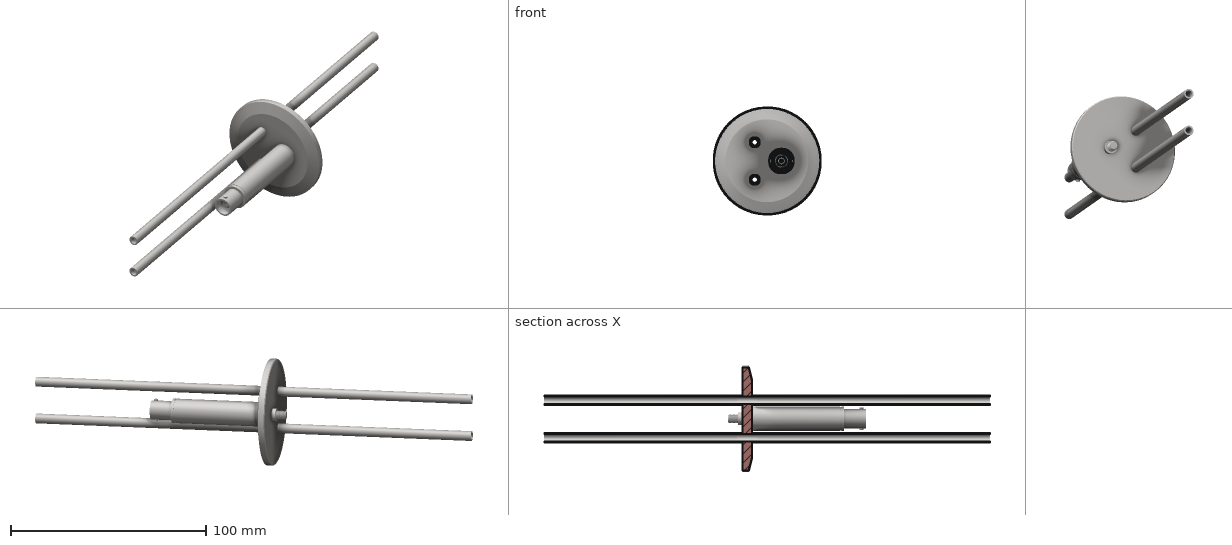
import cadquery as cq


tube_length = 228.5
tube_diameter = 5.0
tube_bore = 3.5
tube_x = -6.5
tube_spacing = 19.2

disc_diameter = 54.9
disc_face_diameter = 42.5
disc_back_y = 12.8
disc_thickness = 5.0
disc_taper = 1.5
disc_back_chamfer = 0.5

housing_x = 7.3
housing_diameter = 12.5
housing_end_y = -39.5
groove_offset = 1.4
groove_width = 0.7
groove_depth = 0.2

socket_diameter = 9.8
socket_length = 11.2
socket_bore = 8.0
socket_depth = 10.0
sleeve_diameter = 4.5
sleeve_setback = 3.5
contact_diameter = 1.4
contact_depth = 4.5
lug_diameter = 2.03
lug_span = 11.5
lug_setback = 2.3

collar_diameter = 6.6
collar_height = 2.0
thread_diameter = 4.5
thread_tooth_count = 7
thread_pitch = 0.7
thread_depth = 0.35
thread_tip_land = 0.2

disc_front_y = disc_back_y - disc_thickness
socket_end_y = housing_end_y - socket_length


def cylinder(diameter, start_y, end_y, x=0.0, z=0.0):
    """Cylinder along Y from start_y up to end_y."""
    axis = cq.Vector(0, 1, 0)
    start = cq.Vector(x, start_y, z)
    return cq.Workplane(cq.Solid.makeCylinder(diameter / 2, end_y - start_y, start, axis))


def revolve_about_y(points, x=0.0):
    """Revolve an outline of (radius, y) points about the Y axis, then move it to x."""
    profile = cq.Workplane("XY").polyline(points).close()
    return profile.revolve(360, (0, 0, 0), (0, 1, 0)).translate((x, 0, 0))


def make_disc():
    radius = disc_diameter / 2
    return revolve_about_y([
        (0, disc_front_y),
        (disc_face_diameter / 2, disc_front_y),
        (radius, disc_front_y + disc_taper),
        (radius, disc_back_y - disc_back_chamfer),
        (radius - disc_back_chamfer, disc_back_y),
        (0, disc_back_y),
    ])


def make_housing():
    body = cylinder(housing_diameter, housing_end_y, disc_back_y, housing_x)
    groove_start = housing_end_y + groove_offset
    groove_end = groove_start + groove_width
    ring = cylinder(housing_diameter, groove_start, groove_end, housing_x)
    core = cylinder(housing_diameter - 2 * groove_depth, groove_start, groove_end, housing_x)
    return body.cut(ring.cut(core))


def make_socket():
    shell = cylinder(socket_diameter, socket_end_y, housing_end_y, housing_x)
    lugs = (
        cq.Workplane("XY", origin=(housing_x, socket_end_y + lug_setback, 0))
        .circle(lug_diameter / 2)
        .extrude(lug_span / 2, both=True)
    )
    floor_y = socket_end_y + socket_depth
    sleeve_end_y = socket_end_y + sleeve_setback
    bore = cylinder(socket_bore, socket_end_y, floor_y, housing_x)
    sleeve = cylinder(sleeve_diameter, sleeve_end_y, floor_y, housing_x)
    contact = cylinder(contact_diameter, sleeve_end_y, sleeve_end_y + contact_depth, housing_x)
    return shell.union(lugs).cut(bore.cut(sleeve)).cut(contact)


def make_rear_connector():
    thread_start_y = disc_back_y + collar_height
    thread_end_y = thread_start_y + thread_tooth_count * thread_pitch + thread_tip_land
    crest = thread_diameter / 2
    root = crest - thread_depth
    outline = [(0, thread_start_y), (root, thread_start_y)]
    for tooth in range(thread_tooth_count):
        tooth_y = thread_start_y + tooth * thread_pitch
        outline.append((crest, tooth_y + thread_pitch / 2))
        outline.append((root, tooth_y + thread_pitch))
    outline.append((root, thread_end_y))
    outline.append((0, thread_end_y))
    collar = cylinder(collar_diameter, disc_back_y, thread_start_y, housing_x)
    return collar.union(revolve_about_y(outline, housing_x))


result = make_disc().union(make_housing()).union(make_socket()).union(make_rear_connector())

for side in (-1, 1):
    tube_z = side * tube_spacing / 2
    tube = cylinder(tube_diameter, -tube_length / 2, tube_length / 2, tube_x, tube_z)
    bore = cylinder(tube_bore, -tube_length / 2, tube_length / 2, tube_x, tube_z)
    result = result.union(tube).cut(bore)